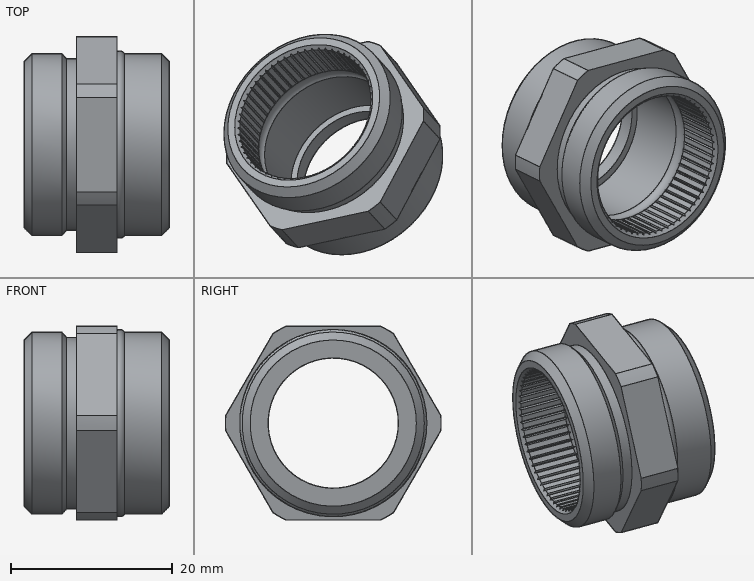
import cadquery as cq
import math

length = 18.0
thread_radius = 11.25
end_chamfer = 1.0

neck_radius = 10.62
neck_start = 5.25
neck_taper_length = 0.6

hex_start = 6.49
hex_width = 5.02
hex_across_flats = 24.0
hex_corner_diameter = 26.7
hex_end = hex_start + hex_width

ring_section_radius = 0.7
ring_outer_radius = 11.58
ring_offset = 0.35

bore_radius = 8.85
bore_chamfer = 0.48
lip_radius = 8.03
lip_thickness = 2.0

undercut_start = 6.22
undercut_width = 1.75
undercut_depth = 0.3

serration_count = 60
serration_depth = 0.2
serration_mouth_width = 0.3

inlet_face = -length / 2


def revolve_about_x(profile):
    """Full turn of an XY profile around the X axis."""
    return profile.revolve(360, (0, 0, 0), (1, 0, 0))


def ring_about_x(x, centre_radius, section_radius):
    """Torus around the X axis."""
    section = cq.Workplane("XY").center(x, centre_radius).circle(section_radius)
    return section.revolve(360, (0, -centre_radius, 0), (1, -centre_radius, 0))


def sleeve():
    """Outer turned body with chamfered ends and the relief neck."""
    chamfered_radius = thread_radius - end_chamfer
    outline = [
        (0, 0),
        (0, chamfered_radius),
        (end_chamfer, thread_radius),
        (neck_start - neck_taper_length, thread_radius),
        (neck_start, neck_radius),
        (hex_start, neck_radius),
        (hex_start, thread_radius),
        (length - end_chamfer, thread_radius),
        (length, chamfered_radius),
        (length, 0),
    ]
    return revolve_about_x(cq.Workplane("XY", origin=(inlet_face, 0, 0)).polyline(outline).close())


def hexagon():
    """Collar with flats facing +Z and -Z and rounded-off corners."""
    plane = cq.Workplane("YZ", origin=(inlet_face + hex_start, 0, 0))
    corner_to_corner = hex_across_flats / math.cos(math.pi / 6)
    prism = plane.polygon(6, corner_to_corner).extrude(hex_width)
    return prism.intersect(plane.circle(hex_corner_diameter / 2).extrude(hex_width))


def sealing_ring():
    return ring_about_x(
        inlet_face + hex_end + ring_offset,
        ring_outer_radius - ring_section_radius,
        ring_section_radius,
    )


def bore():
    """Chamfered bore, stepping down to the smaller opening through the lip."""
    lip_start = length - lip_thickness
    outline = [
        (0, 0),
        (0, bore_radius + bore_chamfer),
        (bore_chamfer, bore_radius),
        (lip_start, bore_radius),
        (lip_start, lip_radius),
        (length, lip_radius),
        (length, 0),
    ]
    return revolve_about_x(cq.Workplane("XY", origin=(inlet_face, 0, 0)).polyline(outline).close())


def undercut():
    """Torus whose outer arc has the undercut's width as chord and its depth as rise."""
    half_width = undercut_width / 2
    section_radius = (half_width**2 + undercut_depth**2) / (2 * undercut_depth)
    return ring_about_x(
        inlet_face + undercut_start + half_width,
        bore_radius + undercut_depth - section_radius,
        section_radius,
    )


def serrations():
    """Evenly spaced V grooves, each overlapping the bore so that it cuts cleanly."""
    tip_radius = bore_radius + serration_depth
    open_radius = bore_radius - serration_depth
    points = [
        (open_radius, -serration_mouth_width),
        (tip_radius, 0),
        (open_radius, serration_mouth_width),
    ]
    groove = (
        cq.Workplane("YZ", origin=(inlet_face, 0, 0))
        .polyline(points)
        .close()
        .extrude(undercut_start + undercut_width / 2)
        .val()
    )
    step = 360 / serration_count
    grooves = [groove.rotate((0, 0, 0), (1, 0, 0), i * step) for i in range(serration_count)]
    return cq.Workplane(cq.Compound.makeCompound(grooves))


body = sleeve().union(hexagon()).union(sealing_ring())
result = body.cut(bore()).cut(undercut()).cut(serrations())